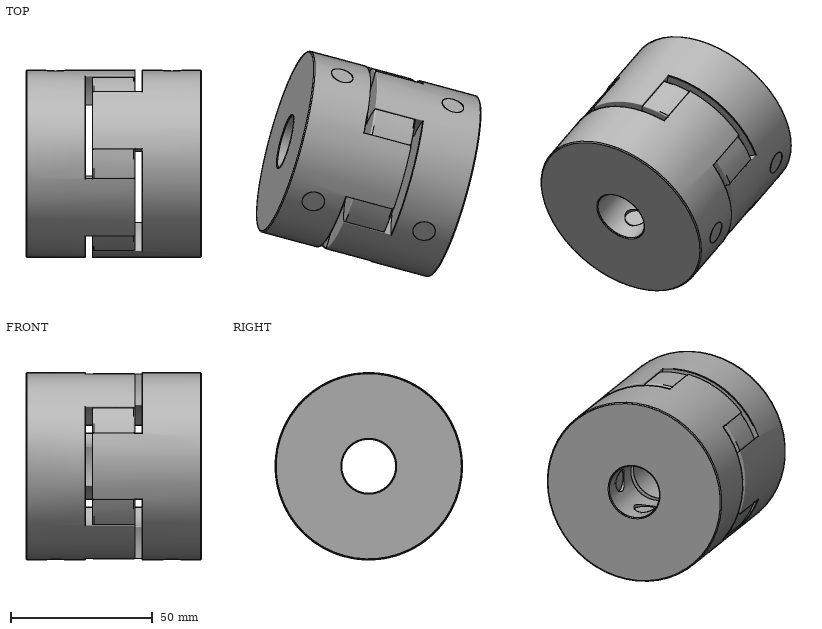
import cadquery as cq
import math


total_length = 62.0
outer_radius = 33.0
edge_chamfer = 0.4

cut_allowance = 1.3

position_tolerance = 0.05

bore_radius = 9.5
bore_chamfer = 0.3
hub_face_gap = 20.0
hub_body_length = (total_length - hub_face_gap) / 2

jaw_count = 3
jaw_pitch = 360 / jaw_count
leg_count = 2 * jaw_count
leg_pitch = 360 / leg_count
jaw_inner_radius = 21.8
jaw_edge_radius = 0.2

flank_radius = 21.1
leg_half_width = 5.55
leg_widest_radius = 28.85
flank_center_offset = flank_radius - leg_half_width

spider_width = 15.0
leg_outer_radius = 32.7
leg_edge_radius = 0.5
jaw_length = (hub_face_gap + spider_width) / 2

screw_radius = 3.95
screw_recess = 0.3
screw_end_distance = 10.5
screw_x = total_length / 2 - screw_end_distance
screw_inner_end = bore_radius + screw_recess
screw_outer_end = math.sqrt(outer_radius**2 - screw_radius**2)
screw_directions = (cq.Vector(0, 1, 0), cq.Vector(0, 0, -1))


def leg_half_angle(radius):
    """Angle in degrees from a leg's centre line to its flank at a radius."""
    center_distance = math.hypot(flank_center_offset, leg_widest_radius)
    center_angle = math.atan2(flank_center_offset, leg_widest_radius)
    cosine = (center_distance**2 + radius**2 - flank_radius**2) / (2 * center_distance * radius)
    return math.degrees(math.acos(cosine) - center_angle)


def jaw_half_angle(radius):
    """Angle in degrees from a jaw's centre line to its flank at a radius."""
    return leg_pitch / 2 - leg_half_angle(radius)


def polar_point(radius, angle_from_z):
    """Point (Y, Z) at a radius and an angle in degrees from +Z."""
    angle = math.radians(angle_from_z)
    return (radius * math.sin(angle), radius * math.cos(angle))


def sector_block(half_angle, inner_radius, sector_outer_radius, start_x, length):
    """Block centred on +Z, bounded by two radii and by two arc flanks."""
    middle_radius = (inner_radius + sector_outer_radius) / 2

    def flank_point(radius, side):
        return polar_point(radius, side * half_angle(radius))

    return (
        cq.Workplane("YZ", origin=(start_x, 0, 0))
        .moveTo(*flank_point(inner_radius, -1))
        .threePointArc(flank_point(middle_radius, -1), flank_point(sector_outer_radius, -1))
        .threePointArc((0, sector_outer_radius), flank_point(sector_outer_radius, 1))
        .threePointArc(flank_point(middle_radius, 1), flank_point(inner_radius, 1))
        .threePointArc((0, inner_radius), flank_point(inner_radius, -1))
        .close()
        .extrude(length)
    )


def rotated_about_x(body, angle):
    """Body turned about the X axis by an angle in degrees."""
    return body.rotate((0, 0, 0), (1, 0, 0), angle)


def screw_cylinder(inner_end, outer_end, direction):
    """Radial cylinder at the screw position of the left hub."""
    start = cq.Vector(-screw_x, 0, 0) + direction * inner_end
    return cq.Workplane(cq.Solid.makeCylinder(screw_radius, outer_end - inner_end, start, direction))


def make_jaw_clearance(first_jaw_angle):
    """Space beyond the left hub's body and around its jaws."""
    start_x = -hub_face_gap / 2
    beyond_radius = outer_radius + cut_allowance
    clearance = cq.Workplane("YZ", origin=(start_x, 0, 0)).circle(beyond_radius).extrude(jaw_length)
    jaw = sector_block(
        jaw_half_angle, jaw_inner_radius, beyond_radius + cut_allowance, start_x, jaw_length
    )
    for index in range(jaw_count):
        clearance = clearance.cut(rotated_about_x(jaw, first_jaw_angle + index * jaw_pitch))
    return clearance


def is_jaw_rounding_edge(edge):
    """True for the outward edges of the left hub's jaws and for the rim between the jaws."""
    root_x = -hub_face_gap / 2
    if edge.Center().x > root_x + position_tolerance:
        return True
    at_root = abs(edge.Center().x - root_x) < position_tolerance
    return at_root and edge.geomType() == "CIRCLE" and edge.radius() > outer_radius - position_tolerance


def make_left_hub(first_jaw_angle):
    """Hub at the -X end; the first jaw is turned from +Z by the angle about X."""
    hub = (
        cq.Workplane("YZ", origin=(-total_length / 2, 0, 0))
        .circle(outer_radius)
        .extrude(hub_body_length + jaw_length)
        .faces("<X")
        .chamfer(edge_chamfer)
        .faces("<X")
        .workplane()
        .hole(2 * bore_radius)
        .faces("<X")
        .edges(cq.selectors.RadiusNthSelector(0))
        .chamfer(bore_chamfer)
        .cut(make_jaw_clearance(first_jaw_angle))
        .edges()
        .filter(is_jaw_rounding_edge)
        .fillet(jaw_edge_radius)
    )
    for direction in screw_directions:
        hub = hub.cut(screw_cylinder(0, total_length, direction))
    return hub


def make_spider():
    """Ring inside the jaws with one leg in each space between neighbouring jaws."""
    start_x = -spider_width / 2
    spider = (
        cq.Workplane("YZ", origin=(start_x, 0, 0))
        .circle(jaw_inner_radius)
        .circle(bore_radius)
        .extrude(spider_width)
    )
    leg = sector_block(leg_half_angle, jaw_inner_radius, leg_outer_radius, start_x, spider_width)
    leg = leg.faces(">Z").fillet(leg_edge_radius)
    for index in range(leg_count):
        spider = spider.union(rotated_about_x(leg, index * leg_pitch))
    return spider


def make_left_screws():
    """Screws from just outside the bore to the rim of their holes."""
    return [screw_cylinder(screw_inner_end, screw_outer_end, direction) for direction in screw_directions]


left_hub = make_left_hub(first_jaw_angle=-90)
right_hub = make_left_hub(first_jaw_angle=90).mirror("YZ")
spider = make_spider()
left_screws = make_left_screws()
right_screws = [screw.mirror("YZ") for screw in left_screws]

result = cq.Compound.makeCompound(
    [
        left_hub.val(),
        right_hub.val(),
        spider.val(),
        *[screw.val() for screw in left_screws + right_screws],
    ]
)